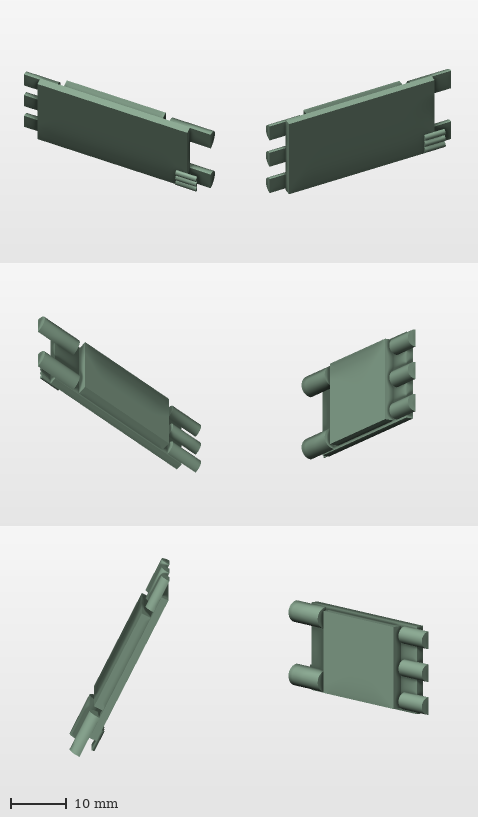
import cadquery as cq

overall_length = 36.2
board_length = 29.05
board_height = 16.0
board_thickness = 1.38
board_left = 3.2

block_length = 19.2
block_height = 15.0
block_thickness = 1.77
block_left = 7.55

left_bar_length = 6.4
left_bar_radius = 1.6
left_bar_pitch = 6.0

right_bar_length = 8.05
right_bar_radius = 2.0
right_bar_offset = 5.8

pin_length = 4.02
pin_radius = 0.6
pin_pitch = 1.38
pin_left = 30.12


def box(left, front, length, thickness, height):
    """Box centred on z = 0, placed by its left and front faces."""
    return (
        cq.Workplane("XY")
        .box(length, thickness, height, centered=(False, False, True))
        .translate((left, front, 0))
    )


def half_round(left, flat_y, center_z, length, radius, side):
    """Half cylinder along X, bulging toward +Y (side = 1) or -Y (side = -1)."""
    return (
        cq.Workplane("YZ", origin=(left, flat_y, center_z))
        .moveTo(0, -radius)
        .threePointArc((side * radius, 0), (0, radius))
        .close()
        .extrude(length)
    )


result = box(board_left, -board_thickness, board_length, board_thickness, board_height)
result = result.union(box(block_left, 0, block_length, block_thickness, block_height))

for row in (-1, 0, 1):
    left_bar = half_round(0, 0, row * left_bar_pitch, left_bar_length, left_bar_radius, 1)
    pin_z = row * pin_pitch - right_bar_offset
    pin = half_round(pin_left, -board_thickness, pin_z, pin_length, pin_radius, -1)
    result = result.union(left_bar).union(pin)

right_bar_left = overall_length - right_bar_length
for bar_z in (-right_bar_offset, right_bar_offset):
    right_bar = half_round(right_bar_left, 0, bar_z, right_bar_length, right_bar_radius, 1)
    result = result.union(right_bar)